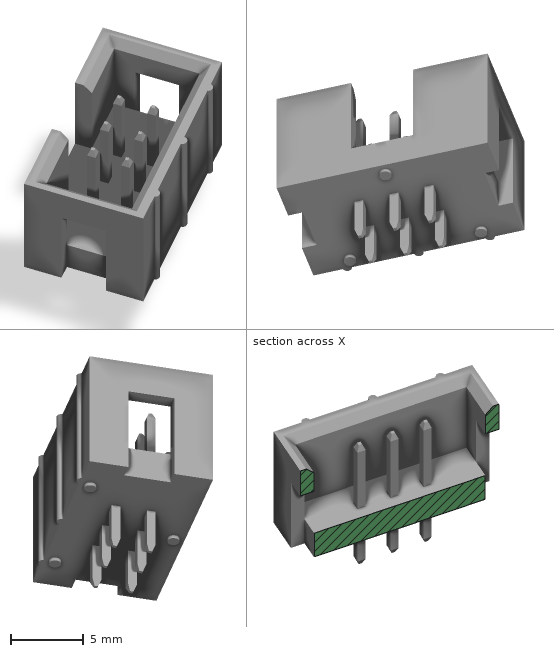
import cadquery as cq

LENGTH_X = 8.85
LENGTH_Y = 15.28
HEIGHT = 8.85
FLOOR_TOP = 2.35

WALL_X = 1.25
WALL_Y = 1.05
LEAD_IN = 0.6
CAVITY_X = LENGTH_X - 2 * WALL_X
CAVITY_Y = LENGTH_Y - 2 * WALL_Y

NOTCH_WIDTH = 4.5
WINDOW_WIDTH = 3.3
WINDOW_TOP = 6.38

PITCH = 2.54
COLUMNS = 2
ROWS = 3
PIN_SIDE = 0.64
TIP_SIDE = 0.25
TIP_LENGTH = 0.5
PIN_TOP = 8.35
PIN_BOTTOM = -3.25

FOOT_DIAMETER = 0.85
FOOT_HEIGHT = 0.25
FOOT_X = 3.62
FOOT_Y = 4.75
FOOT_POSITIONS = [(-FOOT_X, 0), (FOOT_X, -FOOT_Y), (FOOT_X, FOOT_Y)]

RIB_RADIUS = 0.33
RIB_SPACING = 5.17
OUTER_RIB_INSET = 0.06
RIB_CENTRES = [
    (LENGTH_X / 2, 0),
    (LENGTH_X / 2 - OUTER_RIB_INSET, -RIB_SPACING),
    (LENGTH_X / 2 - OUTER_RIB_INSET, RIB_SPACING),
]


def block(size_x, size_y, bottom, top):
    """Box centred on the Z axis between two heights."""
    return cq.Workplane("XY", origin=(0, 0, bottom)).rect(size_x, size_y).extrude(top - bottom)


def frustum(size_x, size_y, end_x, end_y, start, end):
    """Tapered rectangular solid between two heights."""
    return (
        cq.Workplane("XY", origin=(0, 0, start))
        .rect(size_x, size_y)
        .workplane(offset=end - start)
        .rect(end_x, end_y)
        .loft(ruled=True)
    )


def housing():
    body = block(LENGTH_X, LENGTH_Y, 0, HEIGHT)
    cavity = block(CAVITY_X, CAVITY_Y, FLOOR_TOP, HEIGHT)
    lead_in = frustum(
        CAVITY_X, CAVITY_Y, CAVITY_X + 2 * LEAD_IN, CAVITY_Y + 2 * LEAD_IN, HEIGHT - LEAD_IN, HEIGHT
    )
    return body.cut(cavity).cut(lead_in)


def notch():
    wall_centre = -(LENGTH_X - WALL_X) / 2
    return block(WALL_X, NOTCH_WIDTH, FLOOR_TOP, HEIGHT).translate((wall_centre, 0, 0))


def window(side):
    """Opening one wall deep, from the underside up, in the wall at +Y (side 1) or -Y (side -1)."""
    wall_centre = side * (LENGTH_Y - WALL_Y) / 2
    return block(WINDOW_WIDTH, WALL_Y, 0, WINDOW_TOP).translate((0, wall_centre, 0))


def pin():
    shank_bottom = PIN_BOTTOM + TIP_LENGTH
    shank_top = PIN_TOP - TIP_LENGTH
    shank = block(PIN_SIDE, PIN_SIDE, shank_bottom, shank_top)
    upper_tip = frustum(PIN_SIDE, PIN_SIDE, TIP_SIDE, TIP_SIDE, shank_top, PIN_TOP)
    lower_tip = frustum(TIP_SIDE, TIP_SIDE, PIN_SIDE, PIN_SIDE, PIN_BOTTOM, shank_bottom)
    return shank.union(upper_tip).union(lower_tip)


def feet():
    return (
        cq.Workplane("XY", origin=(0, 0, -FOOT_HEIGHT))
        .pushPoints(FOOT_POSITIONS)
        .circle(FOOT_DIAMETER / 2)
        .extrude(FOOT_HEIGHT)
    )


def ribs():
    """Full cylinders partly buried in the +X wall."""
    return cq.Workplane("XY").pushPoints(RIB_CENTRES).circle(RIB_RADIUS).extrude(HEIGHT)


result = housing().union(ribs()).union(feet()).cut(notch())

for wall_side in (-1, 1):
    result = result.cut(window(wall_side))

for column in range(COLUMNS):
    for row in range(ROWS):
        pin_x = (column - (COLUMNS - 1) / 2) * PITCH
        pin_y = (row - (ROWS - 1) / 2) * PITCH
        result = result.union(pin().translate((pin_x, pin_y, 0)))